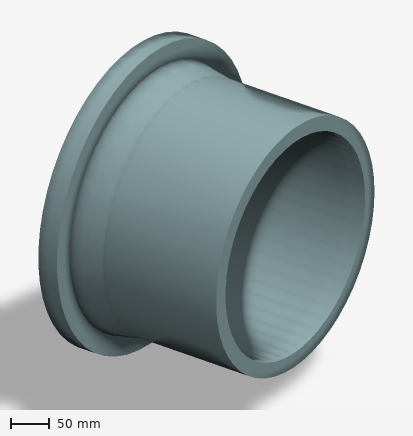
import cadquery as cq

total_length = 255.0
flange_diameter = 430.0
flange_thickness = 29.5
hub_diameter = 373.2
hub_length = 47.0
pipe_diameter = 355.0
bore_diameter = 313.0

flange_radius = flange_diameter / 2
hub_radius = hub_diameter / 2
pipe_radius = pipe_diameter / 2
bore_radius = bore_diameter / 2
hub_end = flange_thickness + hub_length

half_section = (
    cq.Workplane("XY")
    .moveTo(0, bore_radius)
    .lineTo(0, flange_radius)
    .lineTo(flange_thickness, flange_radius)
    .lineTo(flange_thickness, hub_radius)
    .lineTo(hub_end, pipe_radius)
    .lineTo(total_length, pipe_radius)
    .lineTo(total_length, bore_radius)
    .close()
)

result = half_section.revolve(360, (0, 0, 0), (1, 0, 0))